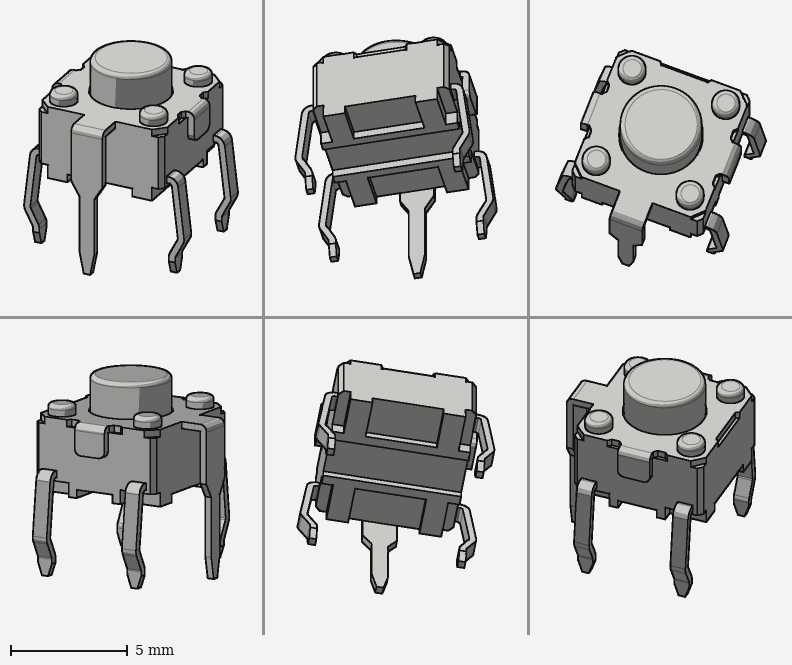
import cadquery as cq
import math

sheet = 0.31

body_side = 6.0
body_corner = 0.2
cover_top = 3.4
cover_corner = 0.5
lead_tip_z = -3.5

button_diameter = 3.5
button_hole_diameter = 3.6
button_top = 5.0
top_rounding = 0.2

post_diameter = 1.2
post_top = 3.9
post_offset = 2.15

corner_cut_x = 0.5
corner_cut_y = 1.7
corner_cut_height = 0.63
slot_width = 1.8
recess_width = 3.1
slot_height = 0.37

notch_depth = 0.15
side_notch_length = 0.65
side_notch_slant = 0.15
back_notch_length = 2.35
back_notch_slant = 0.11

tab_width = 1.5
tab_outer_x = 3.4
tab_bottom = 2.0

ground_outer_y = 4.25
ground_neck_top = 0.78
ground_neck_bottom = 0.14
ground_taper_top = -2.5
lead_width = 0.705
lead_tip_width = 0.31

leg_offset_y = 2.24
leg_top = 1.1
leg_bend_radius = 0.3
leg_shoulder_x = 3.37
leg_knee_x = 3.69
leg_knee_z = -1.81
leg_foot_x = 3.25
leg_foot_z = -2.65
leg_taper_top = -2.92

half_body = body_side / 2
half_tab = tab_width / 2
cover_bottom = cover_top - sheet


def box(x_range, y_range, z_range):
    """Box between two limits along each axis."""
    sizes = [high - low for low, high in (x_range, y_range, z_range)]
    corner = (x_range[0], y_range[0], z_range[0])
    return cq.Workplane("XY").box(*sizes, centered=False).translate(corner)


def rounded_stud(diameter, bottom, top):
    """Upright cylinder with a rounded top edge."""
    stud = cq.Workplane("XY").workplane(offset=bottom).circle(diameter / 2).extrude(top - bottom)
    return stud.faces(">Z").edges().fillet(top_rounding)


def make_housing():
    housing = cq.Workplane("XY").rect(body_side, body_side).extrude(cover_bottom)
    housing = housing.edges("|Z").chamfer(body_corner)
    inner_x = half_body - corner_cut_x
    inner_y = half_body - corner_cut_y
    for x_range in ((-half_body, -inner_x), (inner_x, half_body)):
        for y_range in ((-half_body, -inner_y), (inner_y, half_body)):
            housing = housing.cut(box(x_range, y_range, (0, corner_cut_height)))
    slot = box((-half_body, half_body), (-slot_width / 2, slot_width / 2), (0, slot_height))
    housing = housing.cut(slot)
    for y_range in ((-half_body, -inner_y), (inner_y, half_body)):
        recess = box((-recess_width / 2, recess_width / 2), y_range, (0, slot_height))
        housing = housing.cut(recess)
    return housing


def rim_notch(length, slant):
    """Cutter for a notch with slanted ends, set into the rim at +Y and centred on X = 0."""
    outer = length / 2
    inner = outer - slant
    floor_y = half_body - notch_depth
    outline = [(-outer, half_body), (-inner, floor_y), (inner, floor_y), (outer, half_body)]
    return cq.Workplane("XY").workplane(offset=cover_bottom).polyline(outline).close().extrude(sheet)


def make_cover():
    cover = cq.Workplane("XY").workplane(offset=cover_bottom).rect(body_side, body_side).extrude(sheet)
    cover = cover.edges("|Z").chamfer(cover_corner)
    cover = cover.faces(">Z").workplane(origin=(0, 0, 0)).hole(button_hole_diameter, sheet)
    cover = cover.cut(rim_notch(back_notch_length, back_notch_slant))
    notch_centre = half_tab + side_notch_length / 2
    for side_angle in (90, -90):
        for shift in (-notch_centre, notch_centre):
            notch = rim_notch(side_notch_length, side_notch_slant).translate((shift, 0, 0))
            cover = cover.cut(notch.rotate((0, 0, 0), (0, 0, 1), side_angle))
    return cover


def bent_strip(start_x, outer_x, bottom):
    """Strip leaving the cover towards +X and bent straight down, with a sharp inner bend."""
    inner_x = outer_x - sheet
    middle = sheet * math.sqrt(0.5)
    profile = (
        cq.Workplane("XZ", origin=(0, half_tab, 0))
        .moveTo(start_x, cover_bottom)
        .lineTo(inner_x, cover_bottom)
        .lineTo(inner_x, bottom)
        .lineTo(outer_x, bottom)
        .lineTo(outer_x, cover_bottom)
        .threePointArc((inner_x + middle, cover_bottom + middle), (inner_x, cover_top))
        .lineTo(start_x, cover_top)
        .close()
    )
    return profile.extrude(tab_width)


def make_side_tab():
    """Tab at +X, standing clear of the housing, with rounded lower corners."""
    tab = bent_strip(half_body - notch_depth, tab_outer_x, tab_bottom)
    return tab.faces("<Z").edges("|X").fillet(sheet)


def make_ground_lead():
    """Lead at -Y, bent down from the cover and narrowing to a pin."""
    strip = bent_strip(half_body - notch_depth, ground_outer_y, lead_tip_z)
    strip = strip.rotate((0, 0, 0), (0, 0, 1), -90)
    right_side = [
        (half_tab, cover_top),
        (half_tab, ground_neck_top),
        (lead_width / 2, ground_neck_bottom),
        (lead_width / 2, ground_taper_top),
        (lead_tip_width / 2, lead_tip_z),
    ]
    left_side = [(-x, z) for x, z in reversed(right_side)]
    outline = cq.Workplane("XZ").polyline(right_side + left_side).close().extrude(ground_outer_y)
    return strip.intersect(outline)


def make_leg():
    """Bent leg leaving the housing at +X, centred on Y = 0, with a tapered tip."""
    middle_z = leg_top - sheet / 2
    start_x = half_body - corner_cut_x
    corners = [
        cq.Vector(start_x, 0, middle_z),
        cq.Vector(leg_shoulder_x, 0, middle_z),
        cq.Vector(leg_knee_x, 0, leg_knee_z),
        cq.Vector(leg_foot_x, 0, leg_foot_z),
        cq.Vector(leg_foot_x, 0, lead_tip_z),
    ]
    path = cq.Wire.makePolygon(corners).fillet(leg_bend_radius)
    section = cq.Workplane("YZ", origin=corners[0].toTuple()).rect(lead_width, sheet)
    leg = section.sweep(cq.Workplane(path))
    tip = [
        (lead_width / 2, leg_taper_top),
        (lead_width / 2, lead_tip_z),
        (lead_tip_width / 2, lead_tip_z),
    ]
    trim = cq.Workplane("YZ").polyline(tip).close().extrude(half_body + tab_outer_x)
    return leg.cut(trim).cut(trim.mirror("XZ"))


result = make_housing().union(make_cover())
result = result.union(rounded_stud(button_diameter, cover_bottom, button_top))
result = result.union(make_ground_lead())

for x in (-post_offset, post_offset):
    for y in (-post_offset, post_offset):
        result = result.union(rounded_stud(post_diameter, cover_top, post_top).translate((x, y, 0)))

side_tab = make_side_tab()
front_leg = make_leg().translate((0, -leg_offset_y, 0))
back_leg = make_leg().translate((0, leg_offset_y, 0))
for side_part in (side_tab, front_leg, back_leg):
    result = result.union(side_part).union(side_part.mirror("YZ"))